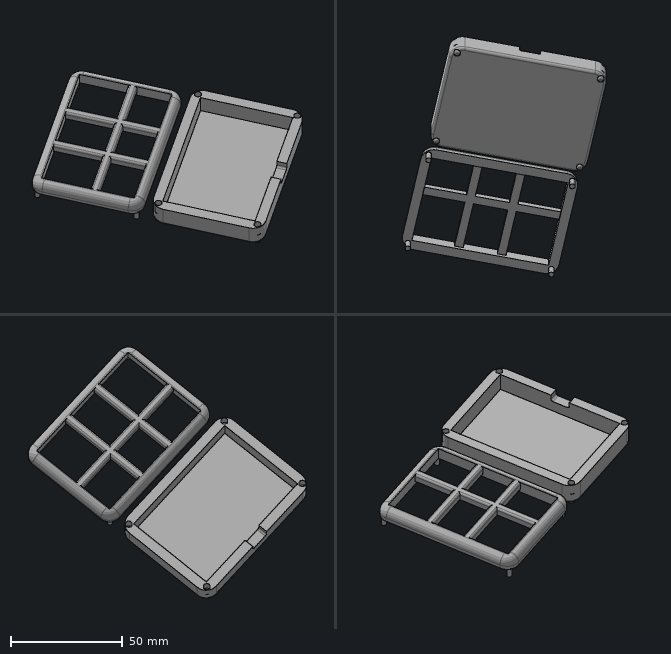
import cadquery as cq

overall_width = 108.34
overall_length = 73.29
overall_height = 11.86

opening_width = 43.0
opening_length = 62.6
wall = 4.65
outer_width = opening_width + 2 * wall
outer_length = opening_length + 2 * wall
corner_radius = 6.1
peg_inset = 3.05

tray_height = 10.6
floor_thickness = 1.5
bottom_fillet = 1.3
socket_diameter = 3.0
socket_depth = 5.7
foot_diameter = 3.0
foot_height = overall_height - tray_height
foot_fillet = 1.0
notch_width = 9.5
notch_depth = 3.4
notch_fillet = 1.0

lid_height = 6.0
lid_fillet = 4.0
bar_width = 4.0
bar_height = 4.0
bar_fillet = 1.0
middle_window_length = 15.6
left_window_width = 22.8
pin_diameter = 2.5
pin_length = 5.3
lid_top_drop = 0.3

lid_x = outer_width - overall_width
lid_y = outer_length - overall_length
lid_top = tray_height - lid_top_drop
lid_bottom = lid_top - lid_height


def rounded_block(height):
    """Block with the common outline, standing on Z = 0."""
    block = cq.Workplane("XY").box(outer_width, outer_length, height, centered=(True, True, False))
    return block.edges("|Z").fillet(corner_radius)


def corner_cylinders(diameter, base, height):
    """Four cylinders at the peg positions, rising from the base level."""
    peg_span_x = outer_width - 2 * peg_inset
    peg_span_y = outer_length - 2 * peg_inset
    return (
        cq.Workplane("XY", origin=(0, 0, base))
        .rect(peg_span_x, peg_span_y, forConstruction=True)
        .vertices()
        .circle(diameter / 2)
        .extrude(height)
    )


def opening(base, height):
    """Rectangular volume inside the walls."""
    return cq.Workplane("XY", origin=(0, 0, base)).rect(opening_width, opening_length).extrude(height)


def make_notch():
    """Cut through the +X wall, with rounded lower corners."""
    notch = cq.Workplane("XY").box(wall, notch_width, notch_depth)
    notch = notch.edges("|X and <Z").fillet(notch_fillet)
    return notch.translate(((outer_width - wall) / 2, 0, tray_height - notch_depth / 2))


def make_tray():
    tray = rounded_block(tray_height).faces("<Z").edges().fillet(bottom_fillet)
    feet = corner_cylinders(foot_diameter, -foot_height, foot_height + bottom_fillet)
    feet = feet.faces("<Z").edges().fillet(foot_fillet)
    tray = tray.union(feet)
    tray = tray.cut(opening(floor_thickness, tray_height))
    tray = tray.cut(corner_cylinders(socket_diameter, tray_height - socket_depth, socket_depth))
    return tray.cut(make_notch())


def make_bars():
    """Crossing bars that divide the opening into six windows, flush with the lid top and rounded along it."""
    long_bar_x = -opening_width / 2 + left_window_width + bar_width / 2
    cross_bar_y = (middle_window_length + bar_width) / 2

    def bar(length):
        blank = cq.Workplane("XY").box(length, bar_width, bar_height)
        blank = blank.edges("|X and >Z").fillet(bar_fillet)
        return blank.translate((0, 0, lid_height - bar_height / 2))

    bars = bar(opening_length).rotate((0, 0, 0), (0, 0, 1), 90).translate((long_bar_x, 0, 0))
    for side in (-1, 1):
        bars = bars.union(bar(opening_width).translate((0, side * cross_bar_y, 0)))
    return bars


def make_lid():
    lid = rounded_block(lid_height).faces(">Z").edges().fillet(lid_fillet)
    lid = lid.cut(opening(0, lid_height))
    lid = lid.union(make_bars())
    lid = lid.union(corner_cylinders(pin_diameter, -pin_length, pin_length))
    return lid.translate((lid_x, lid_y, lid_bottom))


tray = make_tray()
lid = make_lid()
result = cq.Compound.makeCompound([tray.val(), lid.val()])